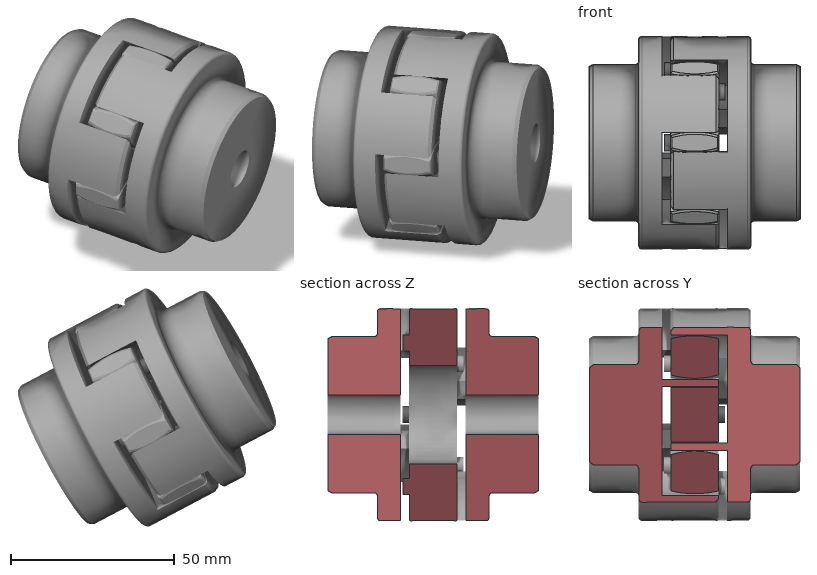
import cadquery as cq
import math


outer_radius = 32.5
total_length = 64.5
flange_span = 34.25
floor_gap = 20.0
boss_radius = 24.0
bore_radius = 6.0
boss_chamfer_length = 1.25
boss_chamfer_depth = 0.7
root_fillet = 1.0
rim_fillet = 1.0

jaw_count = 4
jaw_pitch = 360 / jaw_count
jaw_inner_radius = 20.2
jaw_tip_chamfer = 1.0
cutter_margin = 1.3
flank_radius = 15.45
flank_center_distance = 26.0
hub_twist = 0.6

leg_count = 2 * jaw_count
leg_pitch = 360 / leg_count
spider_width = 14.8
spider_hole_radius = 15.0
crown_radius = 29.9
leg_edge_chamfer = 0.45
pin_radius = 2.55
pin_length = 1.9
pin_circle_radius = 21.95

half_length = total_length / 2
half_flange_span = flange_span / 2
half_floor_gap = floor_gap / 2
half_width = spider_width / 2


def polar(radius, degrees):
    """Point in the YZ plane."""
    angle = math.radians(degrees)
    return (radius * math.cos(angle), radius * math.sin(angle))


def turned(body, degrees):
    """Copy of a body turned about the coupling axis."""
    return body.rotate((0, 0, 0), (1, 0, 0), degrees)


def disc(start, end, radius):
    """Plain cylinder on the coupling axis."""
    return cq.Workplane("YZ").workplane(offset=start).circle(radius).extrude(end - start)


def jaw_half_angle(radius):
    """Half the angle a jaw covers at a radius, where the flank circle crosses that radius."""
    cosine = (radius**2 + flank_center_distance**2 - flank_radius**2) / (2 * radius * flank_center_distance)
    return leg_pitch - math.degrees(math.acos(cosine))


def make_jaw_prism():
    """Jaw outline centred on +Y, drawn past the outer radius and run past the tip plane."""
    reach = outer_radius + cutter_margin
    inner_half = jaw_half_angle(jaw_inner_radius)
    outer_half = jaw_half_angle(reach)
    middle_radius = (jaw_inner_radius + reach) / 2
    middle_half = jaw_half_angle(middle_radius)
    outline = (
        cq.Workplane("YZ").workplane(offset=-half_floor_gap)
        .moveTo(*polar(jaw_inner_radius, inner_half))
        .threePointArc(polar(middle_radius, middle_half), polar(reach, outer_half))
        .threePointArc(polar(reach, 0), polar(reach, -outer_half))
        .threePointArc(polar(middle_radius, -middle_half), polar(jaw_inner_radius, -inner_half))
        .threePointArc(polar(jaw_inner_radius, 0), polar(jaw_inner_radius, inner_half))
        .close()
    )
    return outline.extrude(half_floor_gap + half_width + cutter_margin)


def make_hub():
    """First hub: bored boss and flange on the -X side with jaws pointing to +X."""
    blank = (
        cq.Workplane("XY")
        .moveTo(-half_length, bore_radius)
        .lineTo(-half_length, boss_radius - boss_chamfer_depth)
        .lineTo(-half_length + boss_chamfer_length, boss_radius)
        .lineTo(-half_flange_span - root_fillet, boss_radius)
        .radiusArc((-half_flange_span, boss_radius + root_fillet), -root_fillet)
        .lineTo(-half_flange_span, outer_radius - rim_fillet)
        .radiusArc((-half_flange_span + rim_fillet, outer_radius), rim_fillet)
        .lineTo(half_width - jaw_tip_chamfer, outer_radius)
        .lineTo(half_width, outer_radius - jaw_tip_chamfer)
        .lineTo(half_width, bore_radius)
        .close()
        .revolve(360, (0, 0, 0), (1, 0, 0))
    )
    clearance = disc(-half_floor_gap, half_width + cutter_margin, outer_radius + 2 * cutter_margin)
    jaw_prism = make_jaw_prism()
    for index in range(jaw_count):
        clearance = clearance.cut(turned(jaw_prism, index * jaw_pitch))
    return blank.cut(clearance)


def make_barrel(direction):
    """Crowned barrel whose side forms one flank of a leg."""
    crown_drop = crown_radius - math.sqrt(crown_radius**2 - half_width**2)
    end_radius = flank_radius - crown_drop
    barrel = (
        cq.Workplane("XY")
        .moveTo(-half_width, 0)
        .lineTo(-half_width, end_radius)
        .threePointArc((0, flank_radius), (half_width, end_radius))
        .lineTo(half_width, 0)
        .close()
        .revolve(360, (0, 0, 0), (1, 0, 0))
    )
    return barrel.translate((0, *polar(flank_center_distance, direction)))


def make_leg():
    """One spider leg centred on +Y: the lens shared by two barrels, trimmed flush with the hubs."""
    lens = make_barrel(leg_pitch / 2).intersect(make_barrel(-leg_pitch / 2))
    leg = lens.intersect(disc(-half_width, half_width, outer_radius))
    return leg.faces(">Y").edges().chamfer(leg_edge_chamfer)


def make_spider():
    """Ring with eight crowned legs and locating pins on alternate legs of each side."""
    spider = disc(-half_width, half_width, jaw_inner_radius)
    leg = make_leg()
    for index in range(leg_count):
        spider = spider.union(turned(leg, index * leg_pitch))
    pin = disc(half_width, half_width + pin_length, pin_radius).translate((0, pin_circle_radius, 0))
    for index in range(jaw_count):
        spider = spider.union(turned(pin.mirror("YZ"), index * jaw_pitch))
        spider = spider.union(turned(pin, index * jaw_pitch + leg_pitch))
    return spider.cut(disc(-half_width, half_width, spider_hole_radius))


hub = make_hub()
spider = make_spider()
left_hub = turned(hub, -leg_pitch / 2)

right_hub = turned(hub.mirror("YZ"), leg_pitch / 2 - hub_twist).cut(spider)

result = cq.Compound.makeCompound([
    left_hub.solids().val(),
    right_hub.solids().val(),
    spider.solids().val(),
])